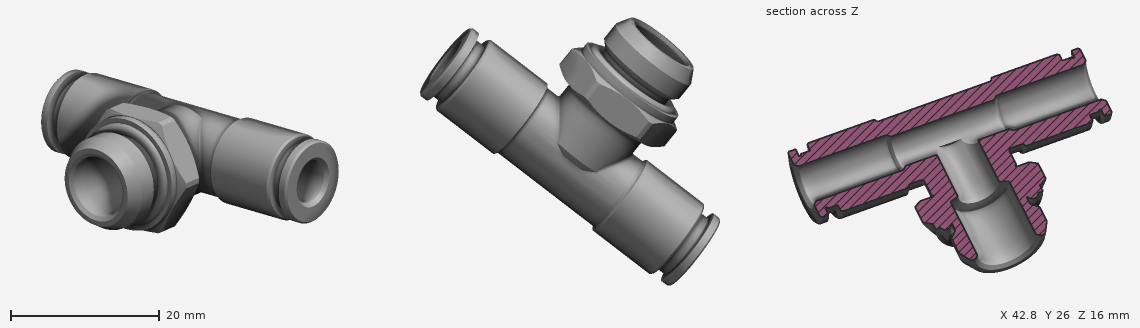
import cadquery as cq
import math

run_length = 42.8
half_run = run_length / 2
run_radius = 11.0 / 2
run_half_width = 8.1
sleeve_radius = 12.0 / 2
sleeve_inner = 8.55
shoulder_fillet = 0.4
shoulder_x = run_half_width + shoulder_fillet
shoulder_radius = run_radius + shoulder_fillet
sleeve_outer = 18.5
collet_radius = 9.55 / 2
collet_groove_radius = 4.55
release_ring_radius = 11.5 / 2
release_ring_width = 1.25
collet_groove_width = 0.25
edge_chamfer = 0.25

run_bore_radius = 5.0 / 2
mouth_inner_radius = 6.15 / 2
tube_stop = run_half_width
mouth_chamfer = 0.4
mouth_chamfer_depth = 0.43
grip_radius = 6.0 / 2
grip_lead_in = 0.13

branch_length = 20.0
stem_radius = 12.5 / 2
stem_start = 0.55
stem_chamfer_end = 1.45
stem_chamfer = 0.55
stem_groove_start = 8.3
stem_groove_radius = 6.08
seam_fillet = 0.35
hex_start = 8.47
hex_end = 12.5
hex_across_flats = 16.0
hex_corner_radius = 9.05
hex_face_radius = 8.0
hex_bevel_height = 0.65
collar_radius = 15.8 / 2
collar_end = 13.55
relief_radius = 11.0 / 2
relief_end = 14.7
thread_radius = 13.0 / 2
thread_start = 15.65
thread_end = 18.15
nose_radius = 5.48

seal_section_radius = 0.85
seal_center_radius = 6.38
seal_center = 13.3

branch_bore_radius = 6.0 / 2
socket_radius = 8.5 / 2
socket_mouth_radius = 9.55 / 2
socket_mouth_depth = 0.43
socket_end = 10.27
socket_cone_end = 9.85


def revolve_about_x(points):
    """Solid from (x, radius) points, turned about the X axis."""
    profile = cq.Workplane("XY").polyline(points).close()
    return profile.revolve(360, (0, 0, 0), (1, 0, 0))


def revolve_about_y(points):
    """Solid from (radius, distance) points, turned about Y; distance runs along -Y."""
    profile = cq.Workplane("XY").polyline([(r, -d) for r, d in points]).close()
    return profile.revolve(360, (0, 0, 0), (0, 1, 0))


def mirrored_ends(half_profile):
    """Closed outline of a half profile, starting at X = 0, and its mirror image."""
    mirrored = [(-x, r) for x, r in reversed(half_profile)]
    return mirrored + half_profile


def make_run():
    ring_inner = half_run - release_ring_width
    collet_end = ring_inner - collet_groove_width
    return revolve_about_x(mirrored_ends([
        (shoulder_x, run_radius),
        (shoulder_x, shoulder_radius),
        (sleeve_inner, sleeve_radius),
        (sleeve_outer - edge_chamfer, sleeve_radius),
        (sleeve_outer, sleeve_radius - edge_chamfer),
        (sleeve_outer, collet_radius),
        (collet_end, collet_radius),
        (collet_end, collet_groove_radius),
        (ring_inner, collet_groove_radius),
        (ring_inner, release_ring_radius),
        (half_run - edge_chamfer, release_ring_radius),
        (half_run, release_ring_radius - edge_chamfer),
        (half_run, 0),
    ]))


def make_shoulder_fillet(side):
    """Concave ring rounding the corner at one shoulder; side is +1 or -1."""
    bulge = shoulder_fillet * math.sin(math.pi / 4)
    profile = (
        cq.Workplane("XY")
        .moveTo(side * run_half_width, run_radius)
        .threePointArc(
            (side * (run_half_width + bulge), shoulder_radius - bulge),
            (side * shoulder_x, shoulder_radius),
        )
        .lineTo(side * shoulder_x, run_radius)
        .close()
    )
    return profile.revolve(360, (0, 0, 0), (1, 0, 0))


def make_run_bore():
    cone_length = grip_radius - run_bore_radius
    mouth_start = half_run - mouth_chamfer_depth
    return revolve_about_x(mirrored_ends([
        (tube_stop - cone_length, run_bore_radius),
        (tube_stop, grip_radius),
        (mouth_start - grip_lead_in, grip_radius),
        (mouth_start, mouth_inner_radius),
        (half_run, mouth_inner_radius + mouth_chamfer),
        (half_run, 0),
    ]))


def make_branch():
    return revolve_about_y([
        (0, stem_start),
        (stem_radius - stem_chamfer, stem_start),
        (stem_radius, stem_chamfer_end),
        (stem_radius, stem_groove_start),
        (stem_groove_radius, stem_groove_start),
        (stem_groove_radius, hex_end),
        (collar_radius, hex_end),
        (collar_radius, collar_end),
        (relief_radius, collar_end),
        (relief_radius, relief_end),
        (thread_radius, thread_start),
        (thread_radius, thread_end),
        (nose_radius, branch_length),
        (0, branch_length),
    ])


def make_hexagon():
    """Hexagon with flats facing up and down and both faces bevelled."""
    across_corners = hex_across_flats / math.cos(math.pi / 6)
    prism = (
        cq.Workplane("XZ", origin=(0, -hex_start, 0))
        .polygon(6, across_corners)
        .extrude(hex_end - hex_start)
    )
    turned_blank = revolve_about_y([
        (0, hex_start),
        (hex_face_radius, hex_start),
        (hex_corner_radius, hex_start + hex_bevel_height),
        (hex_corner_radius, hex_end - hex_bevel_height),
        (hex_face_radius, hex_end),
        (0, hex_end),
    ])
    return prism.intersect(turned_blank)


def make_seal():
    section = cq.Workplane("XY").center(seal_center_radius, -seal_center).circle(seal_section_radius)
    return section.revolve(360, (-seal_center_radius, 0, 0), (-seal_center_radius, 1, 0))


def make_branch_bore():
    return revolve_about_y([
        (0, 0),
        (branch_bore_radius, 0),
        (branch_bore_radius, socket_cone_end),
        (socket_radius, socket_end),
        (socket_radius, branch_length - socket_mouth_depth),
        (socket_mouth_radius, branch_length),
        (0, branch_length),
    ])


def make_seam():
    """Stem end with its rounded seam, tapered off where it breaks through the run."""
    plain_run = revolve_about_x(mirrored_ends([(run_half_width, run_radius), (run_half_width, 0)]))
    stem = cq.Workplane("XZ").circle(stem_radius).extrude(stem_groove_start, both=True)
    cross = plain_run.union(stem).edges("not %CIRCLE").edges("not %LINE").fillet(seam_fillet)
    taper = (stem_chamfer_end - stem_start) / stem_chamfer
    blank_radius = stem_radius + 2 * seam_fillet
    blank = revolve_about_y([
        (0, stem_start),
        (stem_radius - stem_chamfer, stem_start),
        (blank_radius, stem_chamfer_end + taper * (blank_radius - stem_radius)),
        (blank_radius, stem_groove_start),
        (0, stem_groove_start),
    ])
    return cross.cut(plain_run).intersect(blank)


body = make_run().union(make_branch()).union(make_seam())
for side in (-1, 1):
    body = body.union(make_shoulder_fillet(side))
body = body.union(make_hexagon()).union(make_seal())
result = body.cut(make_run_bore()).cut(make_branch_bore())